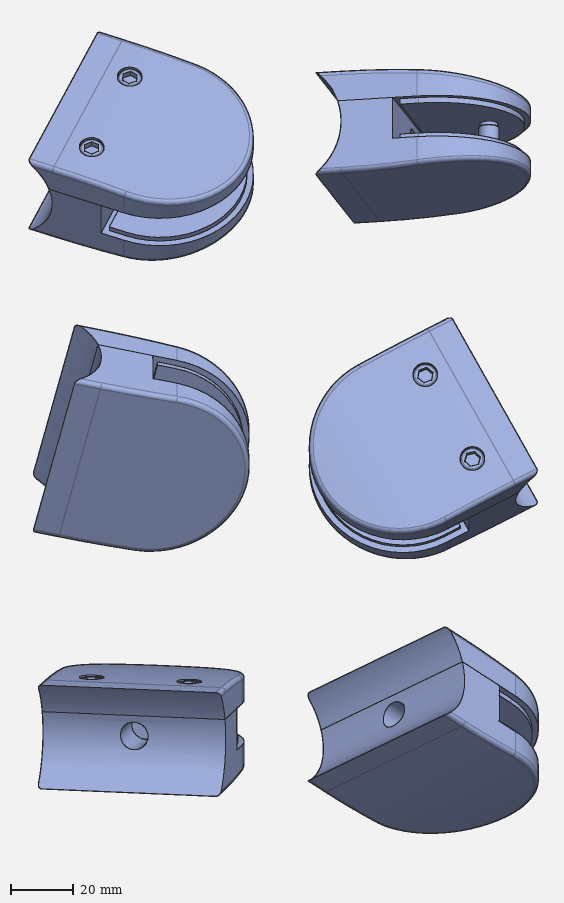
import cadquery as cq
import math


width = 60.0
height = 34.0
tube_radius = 21.2
clamp_reach = 76.2
end_thickness = 12.0
edge_fillet = 1.5

glass_slot = 13.6
slot_depth = 38.0
pad_gap = 10.0
pad_inset = 2.0

mount_hole_diameter = 9.0

screw_hole_diameter = 7.9
screw_head_diameter = 7.6
screw_x = 29.25
screw_spacing = 32.0
screw_pair_y = -0.3
screw_recess = 0.5
screw_head_round = 0.5
hex_across_flats = 4.5
hex_depth = 2.0
hex_turns = (-7.0, -14.0)
screw_hole_depth = 4.0

pin_inset = 13.0
pin_diameter = 6.5
pin_neck_diameter = 5.8
pin_collar_length = 7.5

half_width = width / 2
half_height = height / 2
arc_center_x = clamp_reach - half_width
slot_start = clamp_reach - slot_depth
pad_start = slot_start + pad_inset
pad_thickness = (glass_slot - pad_gap) / 2
split_z = glass_slot / 2
head_top = half_height - screw_recess
screw_floor = half_height - screw_hole_depth


def d_plate(start_x, radius, bottom, thickness):
    """Plate with a square end at start_x and a round end about the jaw arc centre."""
    return (
        cq.Workplane("XY", origin=(0, 0, bottom))
        .moveTo(start_x, -radius)
        .lineTo(arc_center_x, -radius)
        .threePointArc((arc_center_x + radius, 0), (arc_center_x, radius))
        .lineTo(start_x, radius)
        .close()
        .extrude(thickness)
    )


def tapered_side():
    """Side shape: flat near the tube, then tangent arcs that thin it towards the round end."""
    drop = half_height - end_thickness
    run = clamp_reach - tube_radius
    arc_radius = (run**2 + drop**2) / (2 * drop)
    half_angle = math.asin(run / arc_radius) / 2
    mid_x = tube_radius + arc_radius * math.sin(half_angle)
    mid_z = half_height - arc_radius * (1 - math.cos(half_angle))
    return (
        cq.Workplane("XZ")
        .moveTo(0, half_height)
        .lineTo(tube_radius, half_height)
        .threePointArc((mid_x, mid_z), (clamp_reach, end_thickness))
        .lineTo(clamp_reach, -end_thickness)
        .threePointArc((mid_x, -mid_z), (tube_radius, -half_height))
        .lineTo(0, -half_height)
        .close()
        .extrude(half_width, both=True)
    )


def clamp_block():
    """Outer form of both jaws together, with rounded edges and the tube saddle."""
    block = d_plate(0, half_width, -half_height, height).intersect(tapered_side())
    rim_edges = block.faces("<Y or >Y or >X").edges("not(|Z or |Y)")
    block = rim_edges.fillet(edge_fillet)
    tube = cq.Workplane("XZ").circle(tube_radius).extrude(width, both=True)
    return block.cut(tube)


def slab(bottom, top):
    """Block wider than the clamp, used to keep one layer of it."""
    return cq.Workplane("XY", origin=(0, 0, bottom)).rect(4 * clamp_reach, 4 * width).extrude(top - bottom)


def screw_hole():
    """Round recess for one screw head, open at the outer face."""
    return (
        cq.Workplane("XY", origin=(0, 0, screw_floor))
        .circle(screw_hole_diameter / 2)
        .extrude(screw_hole_depth)
    )


def screw_head(hex_turn):
    """Head with a rounded rim and a hex socket, standing on the floor of its recess."""
    blank = (
        cq.Workplane("XY", origin=(0, 0, screw_floor))
        .circle(screw_head_diameter / 2)
        .extrude(head_top - screw_floor)
        .faces(">Z")
        .edges()
        .fillet(screw_head_round)
    )
    hex_corner_diameter = hex_across_flats / math.cos(math.pi / 6)
    socket = (
        cq.Workplane("XY", origin=(0, 0, head_top - hex_depth))
        .polygon(6, hex_corner_diameter)
        .extrude(hex_depth)
        .rotate((0, 0, 0), (0, 0, 1), hex_turn)
    )
    return blank.cut(socket)


def make_lower_jaw():
    """Lower jaw with the web behind the glass, the mounting hole and the lower pad."""
    jaw = clamp_block().intersect(slab(-half_height, split_z))
    slot = (
        cq.Workplane("XY", origin=(slot_start, 0, -split_z))
        .rect(2 * slot_depth, 2 * width)
        .extrude(glass_slot)
        .translate((slot_depth, 0, 0))
    )
    mount_hole = cq.Workplane("YZ").circle(mount_hole_diameter / 2).extrude(clamp_reach)
    pad = d_plate(pad_start, half_width - pad_inset, -split_z, pad_thickness)
    return jaw.cut(slot).cut(mount_hole).union(pad)


def make_upper_jaw():
    """Upper jaw with the upper pad and two sunken hex socket heads."""
    jaw = clamp_block().intersect(slab(split_z, half_height))
    pad = d_plate(pad_start, half_width - pad_inset, split_z - pad_thickness, pad_thickness)
    jaw = jaw.union(pad)
    for side, hex_turn in zip((-1, 1), hex_turns):
        place = (screw_x, screw_pair_y + side * screw_spacing / 2, 0)
        jaw = jaw.cut(screw_hole().translate(place)).union(screw_head(hex_turn).translate(place))
    return jaw


def make_safety_pin():
    """Pin between the pads with a thicker collar at its middle."""
    pin_x = clamp_reach - pin_inset
    neck = cq.Workplane("XY", origin=(0, 0, -pad_gap / 2)).circle(pin_neck_diameter / 2).extrude(pad_gap)
    collar = (
        cq.Workplane("XY", origin=(0, 0, -pin_collar_length / 2))
        .circle(pin_diameter / 2)
        .extrude(pin_collar_length)
    )
    return neck.union(collar).translate((pin_x, 0, 0))


lower_jaw = make_lower_jaw()
upper_jaw = make_upper_jaw()
safety_pin = make_safety_pin()

result = cq.Compound.makeCompound([lower_jaw.val(), upper_jaw.val(), safety_pin.val()])